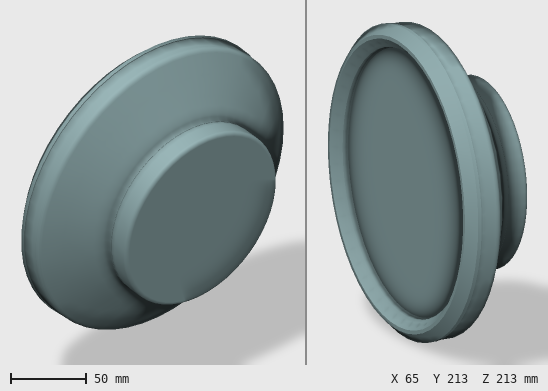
import cadquery as cq
import math

total_depth = 65.0

bezel_radius = 106.5
bezel_depth = 11.0
bezel_band_end = 9.2
bezel_outer_chamfer = 6.5
bezel_lip_width = 2.5
bezel_inner_chamfer = 6.4
bezel_foot_chamfer = 0.9

housing_radius = 211.5 / 2
face_position = 10.2
shoulder_end = 24.5
shoulder_fillet = 4.5
cone_angle = math.radians(60)
neck_radius = 130.0 / 2
neck_blend = 3.6
neck_fillet = 2.8

groove_radius = 129.5 / 2
groove_start = 49.5
groove_width = 0.9

lip_outer_radius = bezel_radius - bezel_outer_chamfer
lip_inner_radius = lip_outer_radius - bezel_lip_width
bore_radius = lip_inner_radius - bezel_inner_chamfer
opening_radius = bore_radius - bezel_foot_chamfer


def revolve_about_x(profile):
    """Turn a closed (x, radius) profile into a solid around the X axis."""
    return profile.close().revolve(360, (0, 0, 0), (1, 0, 0))


def make_bezel():
    """Ring with a sloped outside, a flat lip and a sloped inside leading to a short bore."""
    profile = (
        cq.Workplane("XY")
        .moveTo(0, lip_inner_radius)
        .lineTo(0, lip_outer_radius)
        .lineTo(bezel_outer_chamfer, bezel_radius)
        .lineTo(bezel_band_end, bezel_radius)
        .lineTo(bezel_band_end, housing_radius)
        .lineTo(bezel_depth, housing_radius)
        .lineTo(bezel_depth, opening_radius)
        .lineTo(face_position, opening_radius)
        .lineTo(face_position - bezel_foot_chamfer, bore_radius)
        .lineTo(bezel_inner_chamfer, bore_radius)
    )
    return revolve_about_x(profile)


def make_housing():
    """Solid body: flat face inside the bezel, rounded shoulder, cone and grooved neck."""
    arc_start = shoulder_end - shoulder_fillet * math.sin(cone_angle)
    arc_center_radius = housing_radius - shoulder_fillet
    cone_start_radius = arc_center_radius + shoulder_fillet * math.cos(cone_angle)
    arc_mid = (
        arc_start + shoulder_fillet * math.sin(cone_angle / 2),
        arc_center_radius + shoulder_fillet * math.cos(cone_angle / 2),
    )
    cone_end = shoulder_end + (cone_start_radius - neck_radius) / math.tan(cone_angle)
    blend_tangent = neck_blend * math.tan(cone_angle / 2)
    blend_end = cone_end + blend_tangent
    blend_center_radius = neck_radius + neck_blend
    blend_start = (
        blend_end - neck_blend * math.sin(cone_angle),
        blend_center_radius - neck_blend * math.cos(cone_angle),
    )
    blend_mid = (
        blend_end - neck_blend * math.sin(cone_angle / 2),
        blend_center_radius - neck_blend * math.cos(cone_angle / 2),
    )
    groove_end = groove_start + groove_width

    profile = (
        cq.Workplane("XY")
        .moveTo(face_position, 0)
        .lineTo(face_position, opening_radius)
        .lineTo(bezel_depth, opening_radius)
        .lineTo(bezel_depth, housing_radius)
        .lineTo(arc_start, housing_radius)
        .threePointArc(arc_mid, (shoulder_end, cone_start_radius))
        .lineTo(*blend_start)
        .threePointArc(blend_mid, (blend_end, neck_radius))
        .lineTo(groove_start, neck_radius)
        .lineTo(groove_start, groove_radius)
        .lineTo(groove_end, groove_radius)
        .lineTo(groove_end, neck_radius)
        .lineTo(total_depth, neck_radius)
        .lineTo(total_depth, 0)
    )
    return revolve_about_x(profile).faces(">X").edges().fillet(neck_fillet)


bezel = make_bezel()
housing = make_housing()

result = cq.Compound.makeCompound([bezel.val(), housing.val()])